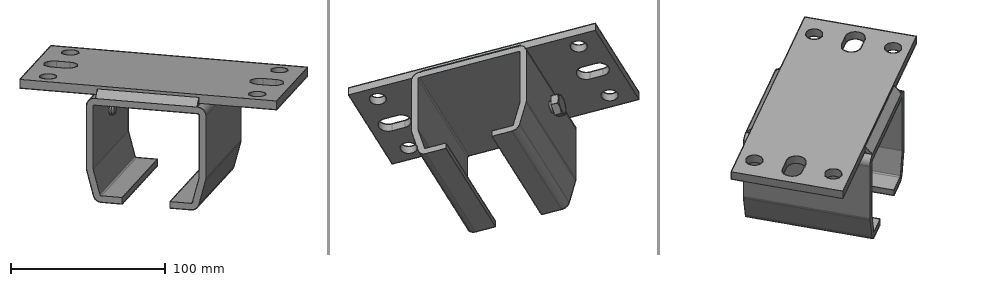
import cadquery as cq
import math


PLATE_LENGTH = 172
PLATE_WIDTH = 75
PLATE_THICKNESS = 6
HOLE_DIAMETER = 11
HOLE_SPACING_X = 140
HOLE_SPACING_Y = 53
SLOT_LENGTH = 22
SLOT_WIDTH = 13
SLOT_SPACING = 138

CHANNEL_LENGTH = 85
CHANNEL_WIDTH = 80
CHANNEL_HEIGHT = 70
WALL = 4.5
INNER_BEND_RADIUS = 1
OUTER_BEND_RADIUS = INNER_BEND_RADIUS + WALL
LIP_GAP = 32
LIP_FLAT_LENGTH = 14
FLANK_ANGLE = 15

PLATE_GAP = 1
WELD_LEG = (CHANNEL_LENGTH - PLATE_WIDTH) / 2
WELD_LENGTH = 68

BOLT_DIAMETER = 8
BOLT_TIP_DIAMETER = 6
BOLT_TIP_LENGTH = 1.6
BOLT_LENGTH = 10
BOLT_HEIGHT = 50
HEAD_ACROSS_FLATS = 13
HEAD_THICKNESS = 5.3
HEAD_FACE_DIAMETER = 12.4
HEAD_CHAMFER_ANGLE = 30
HEAD_CLEARANCE = 2.5


def make_plate():
    bottom = CHANNEL_HEIGHT + PLATE_GAP
    plate = (
        cq.Workplane("XY", origin=(0, 0, bottom))
        .rect(PLATE_LENGTH, PLATE_WIDTH)
        .extrude(PLATE_THICKNESS)
    )
    holes = (
        cq.Workplane("XY", origin=(0, 0, bottom))
        .rect(HOLE_SPACING_X, HOLE_SPACING_Y, forConstruction=True)
        .vertices()
        .circle(HOLE_DIAMETER / 2)
        .extrude(PLATE_THICKNESS)
    )
    slots = (
        cq.Workplane("XY", origin=(0, 0, bottom))
        .pushPoints([(-SLOT_SPACING / 2, 0), (SLOT_SPACING / 2, 0)])
        .slot2D(SLOT_LENGTH, SLOT_WIDTH)
        .extrude(PLATE_THICKNESS)
    )
    return plate.cut(holes).cut(slots)


def make_channel():
    flank = math.radians(FLANK_ANGLE)
    lip_bend = math.pi / 2 - flank
    lip_setback = OUTER_BEND_RADIUS * math.tan(lip_bend / 2)
    half_width = CHANNEL_WIDTH / 2
    half_bottom = LIP_GAP / 2 + LIP_FLAT_LENGTH + lip_setback
    flank_height = (half_width - half_bottom) / math.tan(flank)
    outline = [
        (-half_bottom, 0),
        (half_bottom, 0),
        (half_width, flank_height),
        (half_width, CHANNEL_HEIGHT),
        (-half_width, CHANNEL_HEIGHT),
        (-half_width, flank_height),
    ]
    outside = (
        cq.Workplane("XZ")
        .polyline(outline)
        .close()
        .extrude(CHANNEL_LENGTH / 2, both=True)
        .edges("|Y")
        .fillet(OUTER_BEND_RADIUS)
    )
    inside = (
        cq.Workplane("XZ")
        .polyline(outline)
        .close()
        .offset2D(-WALL)
        .extrude(CHANNEL_LENGTH / 2, both=True)
        .edges("|Y")
        .fillet(INNER_BEND_RADIUS)
    )
    opening = cq.Workplane("XY").box(LIP_GAP, CHANNEL_LENGTH, 2 * WALL)
    return outside.cut(inside).cut(opening)


def make_weld(side):
    """Triangular bead on the roof; side is -1 or +1 along Y."""
    plate_side = side * PLATE_WIDTH / 2
    return (
        cq.Workplane("YZ")
        .moveTo(plate_side, CHANNEL_HEIGHT)
        .lineTo(plate_side + side * WELD_LEG, CHANNEL_HEIGHT)
        .lineTo(plate_side, CHANNEL_HEIGHT + WELD_LEG)
        .close()
        .extrude(WELD_LENGTH / 2, both=True)
    )


def make_bolt_head(face_x):
    """Hexagon head with two corners on the vertical and a chamfered outer face."""
    across_corners = HEAD_ACROSS_FLATS / math.cos(math.pi / 6)
    hexagon = (
        cq.Workplane("YZ", origin=(face_x, 0, BOLT_HEIGHT))
        .polygon(6, across_corners)
        .extrude(HEAD_THICKNESS)
        .rotate((0, 0, BOLT_HEIGHT), (1, 0, BOLT_HEIGHT), 90)
    )
    face_radius = HEAD_FACE_DIAMETER / 2
    cone_radius = across_corners / 2
    cone_depth = (cone_radius - face_radius) * math.tan(math.radians(HEAD_CHAMFER_ANGLE))
    turned_blank = (
        cq.Workplane("XY")
        .lineTo(0, face_radius)
        .lineTo(cone_depth, cone_radius)
        .lineTo(HEAD_THICKNESS, cone_radius)
        .lineTo(HEAD_THICKNESS, 0)
        .close()
        .revolve(360, (0, 0, 0), (1, 0, 0))
        .translate((face_x, 0, BOLT_HEIGHT))
    )
    return hexagon.intersect(turned_blank)


def make_bolt():
    head_base_x = -CHANNEL_WIDTH / 2 - HEAD_CLEARANCE
    shank = (
        cq.Workplane("YZ", origin=(head_base_x, 0, BOLT_HEIGHT))
        .circle(BOLT_DIAMETER / 2)
        .extrude(BOLT_LENGTH)
        .faces(">X")
        .chamfer(BOLT_TIP_LENGTH, (BOLT_DIAMETER - BOLT_TIP_DIAMETER) / 2)
    )
    return shank.union(make_bolt_head(head_base_x - HEAD_THICKNESS))


result = make_channel().union(make_plate()).union(make_bolt())
for weld_side in (-1, 1):
    result = result.union(make_weld(weld_side))